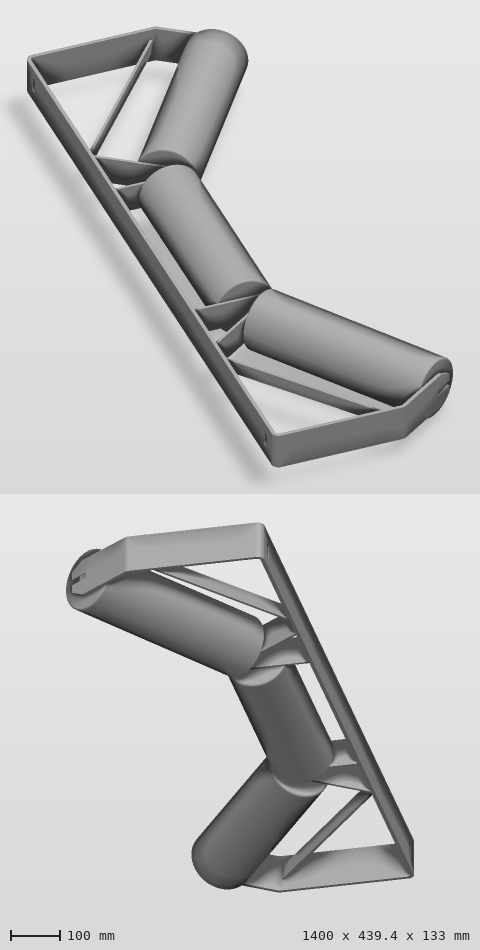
import cadquery as cq
import math


FRAME_LENGTH = 1400.0
STRAP_WIDTH = 80.0
STRAP = 8.0
BEND_INNER = 7.0
BEND_OUTER = BEND_INNER + STRAP
WING_TOP = 420.0
WING_CUT_LENGTH = 31.0
WING_CUT_WIDTH = 17.0
MOUNT_SLOT_X = 651.0
MOUNT_SLOT_WIDTH = 17.0
MOUNT_SLOT_HEIGHT = 32.0

TILT = 35.0
ROLLER_RADIUS = 66.5
ROLLER_LENGTH = 428.0
ROLLER_EDGE = 4.0
TILTED_X = -438.0
SHARP_CORNER_TOP = 441.0
LEVEL_Y = 126.0
SHAFT_DIAMETER = 22.0
SHAFT_FLATS = 13.0
END_GAP = 4.6

FLAT_BAR = 6.0
BRACKET_WIDTH = 60.0
BRACKET_TOP = 168.0
BRACKET_BEND_INNER = 4.0
BRACE_WALL_Y = 277.0
BRACE_BASE_X = -361.0
BRACE_WIDTH = 30.0

SIN = math.sin(math.radians(TILT))
COS = math.cos(math.radians(TILT))
HALF_LENGTH = FRAME_LENGTH / 2
HALF_ROLLER = ROLLER_LENGTH / 2
SUPPORT_FACE = HALF_ROLLER + END_GAP
HALF_SHAFT = SUPPORT_FACE + FLAT_BAR
WALL_INNER_X = -HALF_LENGTH + STRAP
TILTED_Y = SHARP_CORNER_TOP - HALF_ROLLER * SIN - ROLLER_RADIUS * COS
TILTED_CENTRE = SIN * TILTED_Y - COS * TILTED_X
WING_INNER = TILTED_CENTRE + SUPPORT_FACE
WING_OUTER = WING_INNER + STRAP


def square_line_x(distance, y):
    """X of the square line at height y."""
    return (SIN * y - distance) / COS


def square_line_y(distance, x):
    """Height of the square line at the given X."""
    return (distance + COS * x) / SIN


def strip(points, width):
    """Flat outline in the XY plane, extruded to a strip centred on Z = 0."""
    return cq.Workplane("XY", origin=(0, 0, -width / 2)).polyline(points).close().extrude(width)


def round_corner(body, x, y, radius):
    """Round the edge along Z that passes through (x, y)."""
    return body.edges(cq.selectors.NearestToPointSelector((x, y, 0))).fillet(radius)


def mirrored(body):
    return body.mirror("YZ")


def place_level(body):
    return body.translate((0, LEVEL_Y, 0))


def place_tilted(body):
    return body.rotate((0, 0, 0), (0, 0, 1), -TILT).translate((TILTED_X, TILTED_Y, 0))


def bar_along_x(radius, length):
    return cq.Workplane("YZ", origin=(-length / 2, 0, 0)).circle(radius).extrude(length)


def shaft(length):
    """Round shaft with two flats that face +Z and -Z."""
    flats = cq.Workplane("XY").box(length, SHAFT_DIAMETER, SHAFT_FLATS)
    return bar_along_x(SHAFT_DIAMETER / 2, length).intersect(flats)


def roller():
    """Drum with rounded edges, and a shaft that sticks out at both ends."""
    drum = bar_along_x(ROLLER_RADIUS, ROLLER_LENGTH).edges("%CIRCLE").fillet(ROLLER_EDGE)
    return drum.union(shaft(2 * HALF_SHAFT))


def shaft_slots():
    """Cutter for the open slots at both ends: the shaft seat and the way in from above."""
    length = 2 * (SUPPORT_FACE + 2 * STRAP)
    entry_height = 2 * ROLLER_RADIUS
    entry = cq.Workplane("XY").box(length, entry_height, SHAFT_FLATS).translate((0, entry_height / 2, 0))
    return shaft(length).union(entry)


def frame_half():
    """Left half of the frame: base, wall and wing, bent from one strap."""
    wall_height = square_line_y(WING_OUTER, -HALF_LENGTH)
    wall_inner_height = square_line_y(WING_INNER, WALL_INNER_X)
    wing_end_x = square_line_x(WING_OUTER, WING_TOP)
    half = strip(
        [
            (0, 0),
            (-HALF_LENGTH, 0),
            (-HALF_LENGTH, wall_height),
            (wing_end_x, WING_TOP),
            (wing_end_x + STRAP * COS, WING_TOP - STRAP * SIN),
            (WALL_INNER_X, wall_inner_height),
            (WALL_INNER_X, STRAP),
            (0, STRAP),
        ],
        STRAP_WIDTH,
    )
    for bend_y in (0, wall_height):
        half = round_corner(half, -HALF_LENGTH, bend_y, BEND_OUTER)
    for bend_y in (STRAP, wall_inner_height):
        half = round_corner(half, WALL_INNER_X, bend_y, BEND_INNER)
    return half.cut(wing_corner_cuts(wing_end_x)).cut(mount_slot()).cut(place_tilted(shaft_slots()))


def wing_corner_cuts(wing_end_x):
    """Cutters that bevel both corners at the free end of the left wing."""
    wing_face = cq.Plane(origin=(wing_end_x, WING_TOP, 0), xDir=(SIN, COS, 0), normal=(-COS, SIN, 0))
    edge = STRAP_WIDTH / 2
    cuts = cq.Workplane(wing_face)
    for side in (-1, 1):
        corner = [
            (0, side * edge),
            (-WING_CUT_LENGTH, side * edge),
            (0, side * (edge - WING_CUT_WIDTH)),
        ]
        cuts = cuts.polyline(corner).close()
    return cuts.extrude(STRAP, both=True)


def mount_slot():
    """Cutter for the mounting slot through the base, long in Z."""
    base_face = cq.Workplane("XZ").center(-MOUNT_SLOT_X, 0)
    return base_face.slot2D(MOUNT_SLOT_HEIGHT, MOUNT_SLOT_WIDTH, 90).extrude(-STRAP)


def inner_bracket():
    """Left inner bracket: a sloping leg and an upright leg joined across the top."""
    slope_far = TILTED_CENTRE - HALF_SHAFT
    slope_near = slope_far + FLAT_BAR
    upright_far_x = -HALF_SHAFT
    upright_near_x = upright_far_x + FLAT_BAR
    under_top = BRACKET_TOP - FLAT_BAR
    bracket = strip(
        [
            (square_line_x(slope_near, STRAP), STRAP),
            (square_line_x(slope_near, BRACKET_TOP), BRACKET_TOP),
            (upright_near_x, BRACKET_TOP),
            (upright_near_x, STRAP),
            (upright_far_x, STRAP),
            (upright_far_x, under_top),
            (square_line_x(slope_far, under_top), under_top),
            (square_line_x(slope_far, STRAP), STRAP),
        ],
        BRACKET_WIDTH,
    )
    bracket = round_corner(bracket, upright_near_x, BRACKET_TOP, BRACKET_BEND_INNER + FLAT_BAR)
    bracket = round_corner(bracket, upright_far_x, under_top, BRACKET_BEND_INNER)
    return bracket.cut(place_level(shaft_slots())).cut(place_tilted(shaft_slots()))


def brace():
    """Left diagonal brace from the wall down to the base."""
    slope = math.atan2(BRACE_WALL_Y - STRAP, BRACE_BASE_X - WALL_INNER_X)
    return strip(
        [
            (WALL_INNER_X, BRACE_WALL_Y),
            (BRACE_BASE_X, STRAP),
            (BRACE_BASE_X - FLAT_BAR / math.sin(slope), STRAP),
            (WALL_INNER_X, BRACE_WALL_Y - FLAT_BAR / math.cos(slope)),
        ],
        BRACE_WIDTH,
    )


left_frame = frame_half()
frame = left_frame.union(mirrored(left_frame))
level_roller = place_level(roller())

bodies = [*frame.solids().vals(), *level_roller.solids().vals()]
for left_body in (place_tilted(roller()), inner_bracket(), brace()):
    for body in (left_body, mirrored(left_body)):
        bodies += body.solids().vals()

result = cq.Compound.makeCompound(bodies)